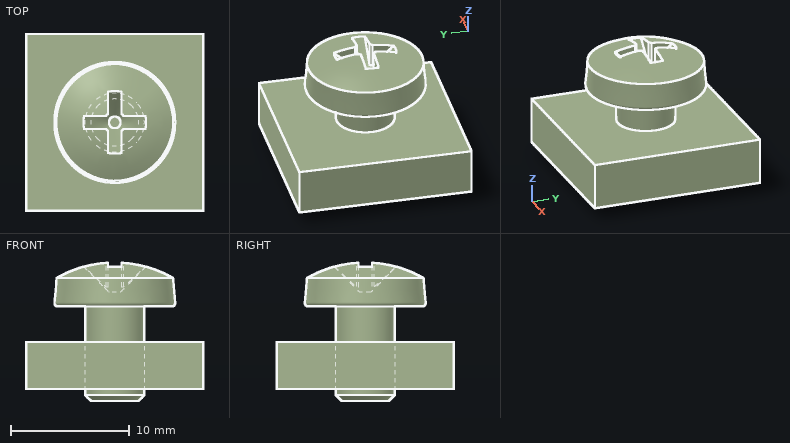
import cadquery as cq
import math

plate_side = 15.0
plate_thickness = 4.0

shank_radius = 2.5
tip_protrusion = 1.0
tip_chamfer = 0.5
head_clearance = 3.0

head_base_radius = 5.16
head_rim_radius = 4.95
head_height = 3.75
dome_height = 1.34
base_fillet = 0.3

wing_width = 1.11
recess_mouth_radius = 2.65
recess_floor_radius = 0.5
recess_wall_angle = 45.0
cross_corner_chamfer = 0.2
cutter_overrun = 0.3

tip_z = -tip_protrusion
head_base_z = plate_thickness + head_clearance
apex_z = head_base_z + head_height
rim_z = apex_z - dome_height

dome_radius = (head_rim_radius**2 + dome_height**2) / (2 * dome_height)


def dome_z(radius):
    """Height of the dome surface at a distance from the screw axis."""
    return apex_z - dome_radius + math.sqrt(dome_radius**2 - radius**2)


def make_plate():
    """Square plate with a through hole that fits the shank."""
    return (
        cq.Workplane("XY")
        .rect(plate_side, plate_side)
        .circle(shank_radius)
        .extrude(plate_thickness)
    )


def make_shank():
    """Plain cylindrical shank with a chamfered tip."""
    return (
        cq.Workplane("XY")
        .workplane(offset=tip_z)
        .circle(shank_radius)
        .extrude(head_base_z - tip_z)
        .faces("<Z")
        .chamfer(tip_chamfer)
    )


def make_head():
    """Tapered head with a domed top and a rounded lower edge."""
    arc_radius = head_rim_radius / 2
    return (
        cq.Workplane("XZ")
        .moveTo(0, head_base_z)
        .lineTo(head_base_radius, head_base_z)
        .lineTo(head_rim_radius, rim_z)
        .threePointArc((arc_radius, dome_z(arc_radius)), (0, apex_z))
        .close()
        .revolve(360, (0, 0, 0), (0, 1, 0))
        .faces("<Z")
        .edges()
        .fillet(base_fillet)
    )


def make_recess():
    """Cross-shaped cutter whose wing floors slope inward along a cone."""
    slope = math.tan(math.radians(recess_wall_angle))
    mouth_z = dome_z(recess_mouth_radius)
    floor_z = mouth_z - (recess_mouth_radius - recess_floor_radius) * slope
    top_z = apex_z + cutter_overrun
    top_radius = recess_floor_radius + (top_z - floor_z) / slope
    cone = (
        cq.Workplane("XZ")
        .moveTo(0, floor_z)
        .lineTo(recess_floor_radius, floor_z)
        .lineTo(top_radius, top_z)
        .lineTo(0, top_z)
        .close()
        .revolve(360, (0, 0, 0), (0, 1, 0))
    )

    cutter_height = top_z - floor_z
    base = cq.Workplane("XY").workplane(offset=floor_z)
    wing_span = 2 * top_radius
    cross = base.rect(wing_span, wing_width).extrude(cutter_height)
    cross = cross.union(base.rect(wing_width, wing_span).extrude(cutter_height))

    bevel_reach = wing_width + cross_corner_chamfer
    bevel = base.polygon(4, 2 * bevel_reach).extrude(cutter_height)
    return cross.union(bevel).intersect(cone)


def make_screw():
    """Pan-head screw with its cross recess."""
    return make_shank().union(make_head()).cut(make_recess())


plate = make_plate()
screw = make_screw()
result = cq.Compound.makeCompound([plate.val(), *screw.vals()])